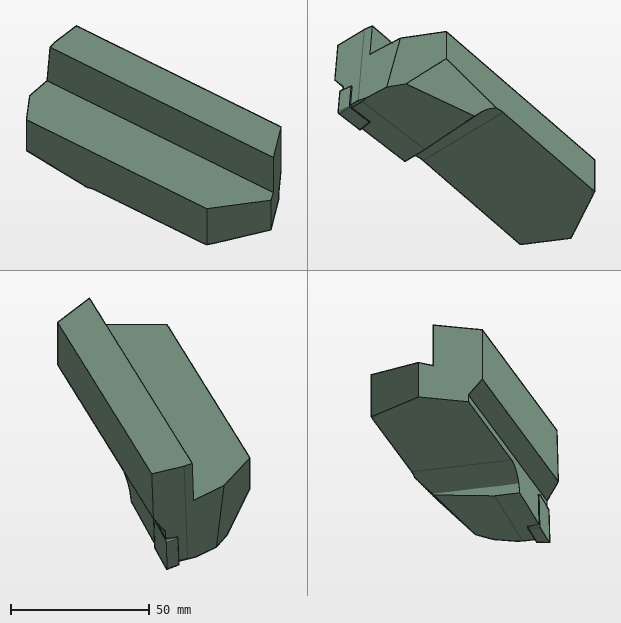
import cadquery as cq
import math


def tan(degrees):
    return math.tan(math.radians(degrees))


length = 111.9
width = 42.2
height = 42.0
margin = 22.4

rib_front_y = 26.3
shelf_front_z = 29.6
shelf_slope = 8.0
shelf_inner_z = shelf_front_z - rib_front_y * tan(shelf_slope)
back_step_y = 37.7
back_bevel_top_z = 22.5
back_bevel_bottom_z = 15.7

lean = 5.0
nose_top_x = 4.8
nose_flat_y = 29.6
nose_sweep = 8.8
front_corner_x = 15.5
corner_sweep = 34.8
tail_apex_y = 21.6
tail_angle = 30.0

sole_z = 1.0
sole_front_y = 28.3
sole_slope = 6.9
base_z = 13.0
relief_radius = 10.4
relief_end_x = 47.7
bevel_start_z = 15.4
bevel_fall_x = 0.11
bevel_fall_y = 1.06
tip_bevel_z = 2.0
tip_bevel_angle = 50.0

insert_side = 12.9
insert_back_y = 38.0
insert_thickness = 4.8
insert_relief = 7.0
insert_corner_radius = 0.8


def make_stock():
    """Shank section along X, limited by the plan outline of the two ends."""
    section = [
        (0, -margin),
        (0, shelf_front_z),
        (rib_front_y, shelf_inner_z),
        (rib_front_y, height),
        (width, height),
        (width, back_bevel_top_z),
        (back_step_y, back_bevel_bottom_z),
        (back_step_y, -margin),
    ]
    shank = cq.Workplane("YZ").polyline(section).close().extrude(length)
    plan = [
        (front_corner_x, 0),
        (length - tail_apex_y * tan(tail_angle), 0),
        (length, tail_apex_y),
        (length - (width - tail_apex_y) * tan(tail_angle), width),
        (front_corner_x - width * tan(corner_sweep), width),
    ]
    ends = cq.Workplane("XY").workplane(offset=-margin).polyline(plan).close().extrude(height + 2 * margin)
    return shank.intersect(ends)


def make_nose_limit():
    """Leaning prism whose left faces are the straight and the swept nose face."""
    lean_rad = math.radians(lean)
    plane = cq.Plane(
        origin=(nose_top_x, 0, height),
        xDir=(math.cos(lean_rad), 0, -math.sin(lean_rad)),
        normal=(math.sin(lean_rad), 0, math.cos(lean_rad)),
    )
    far_x = length + margin
    outline = [
        (0, width),
        (0, nose_flat_y),
        (nose_flat_y * tan(nose_sweep), 0),
        (far_x, 0),
        (far_x, width),
    ]
    return cq.Workplane(plane).polyline(outline).close().extrude(length, both=True)


def make_sole_limit():
    """Prism rising along X that keeps what lies above the underside."""
    lean_rad = math.radians(lean)
    plane = cq.Plane(
        origin=(0, 0, sole_z),
        xDir=(0, 1, 0),
        normal=(math.cos(lean_rad), 0, math.sin(lean_rad)),
    )
    outline = [
        (0, sole_front_y * tan(sole_slope)),
        (sole_front_y, 0),
        (width, 0),
        (width, length),
        (0, length),
    ]
    return cq.Workplane(plane).polyline(outline).close().extrude(length + margin, both=True)


def make_bottom_relief():
    """Space below the shank, ending in a concave quarter round behind the nose."""
    start_x = relief_end_x - relief_radius
    center_z = base_z - relief_radius
    diagonal = relief_radius * math.sqrt(0.5)
    return (
        cq.Workplane("XZ")
        .moveTo(start_x, -margin)
        .lineTo(start_x, center_z)
        .threePointArc((relief_end_x - diagonal, center_z + diagonal), (relief_end_x, base_z))
        .lineTo(length + margin, base_z)
        .lineTo(length + margin, -margin)
        .close()
        .extrude(-width)
    )


def make_front_bevel():
    """Block outside the slanted plane across the lower front edge."""
    plane = cq.Plane(
        origin=(front_corner_x, 0, bevel_start_z),
        xDir=(1, 0, -bevel_fall_x),
        normal=(-bevel_fall_x, -bevel_fall_y, -1),
    )
    return cq.Workplane(plane).rect(2 * length, 2 * length).extrude(length)


def make_tip_bevel():
    """Wedge that breaks the edge between the nose and the sole."""
    nose_x = nose_top_x - (height - tip_bevel_z) * tan(lean)
    outline = [
        (nose_x - margin, tip_bevel_z + margin * tan(tip_bevel_angle)),
        (nose_x + margin, tip_bevel_z - margin * tan(tip_bevel_angle)),
        (nose_x - margin, tip_bevel_z - margin * tan(tip_bevel_angle)),
    ]
    return cq.Workplane("XZ").polyline(outline).close().extrude(-width)


def make_insert():
    """Rhombic plate, widest at its rear face, with its sharp corner at the origin."""
    along = insert_side * math.cos(math.radians(lean))
    rise = insert_side * math.sin(math.radians(lean))
    half_corner = math.radians(45 - lean)
    shift = insert_corner_radius * (1 - math.sqrt(0.5) / math.sin(half_corner))
    corners = [(0, 0), (along, rise), (along + rise, along + rise), (rise, along)]
    rhombus = (
        cq.Sketch()
        .polygon([(x + shift, z + shift) for x, z in corners + corners[:1]])
        .vertices()
        .fillet(insert_corner_radius)
    )
    return (
        cq.Workplane("XZ", origin=(0, insert_back_y, 0))
        .placeSketch(rhombus)
        .extrude(insert_thickness, taper=insert_relief)
        .solids()
    )


def make_holder(insert):
    holder = make_stock().intersect(make_nose_limit()).intersect(make_sole_limit())
    for cutter in (make_bottom_relief(), make_front_bevel(), make_tip_bevel()):
        holder = holder.cut(cutter)
    return holder.cut(insert).solids()


insert = make_insert()
holder = make_holder(insert)

result = cq.Compound.makeCompound([holder.val(), insert.val()])